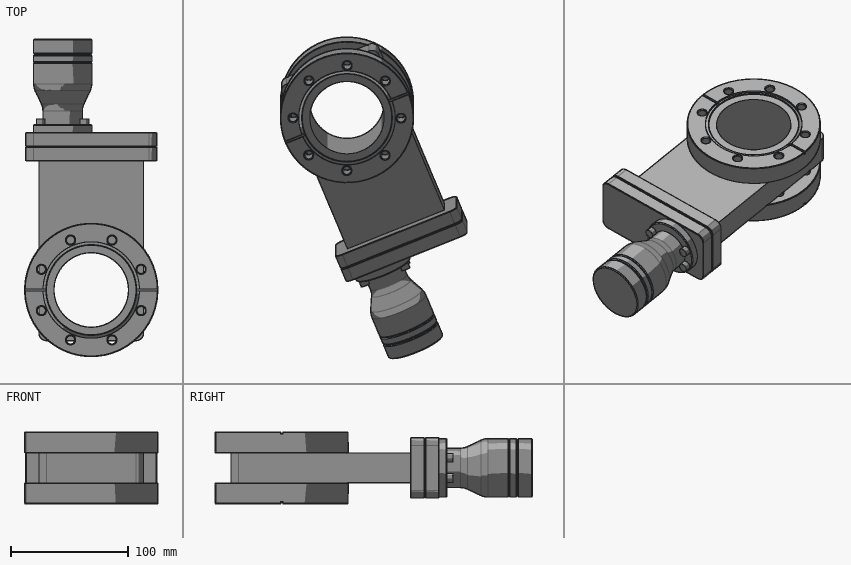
import cadquery as cq
import math

overall_length = 270.5

flange_radius = 56.8
flange_thickness = 17.9
flange_edge_chamfer = 0.5
bore_radius = 31.6

recess_radius = 41.0
recess_depth = 1.5
knife_radius = 38.7
inner_floor_radius = 38.1
knife_depth = 0.8
inner_floor_depth = 1.4

leak_groove_width = 2.0
leak_groove_depth = 2.0

bolt_count = 8
bolt_circle_radius = 46.0
bolt_hole_radius = 3.5
bolt_hole_chamfer = 0.8

body_width = 89.3
body_height = 25.5
body_front_y = -43.3
body_corner_radius = 6.5
half_height = body_height / 2 + flange_thickness

plate_width = 111.7
plate_height = 51.5
plate_thickness = 12.0
plate_corner_radius = 6.5
plate_edge_chamfer = 0.5
plate_gap = 0.5
bonnet_front_y = 109.8
gap_inset = 1.0
bonnet_back_y = bonnet_front_y + 2 * plate_thickness + plate_gap

knob_axis_x = -24.3
knob_end_y = overall_length - flange_radius
knob_radius = 50.0 / 2
knob_chamfer = 0.8
neck_radius = 33.8 / 2
collar_top_y = 141.0
taper_back_y = 172.5
taper_front_y = 155.5
blend_radius = 13.3
edge_search_margin = 0.3
groove_depth = 0.8
groove_side_slope = 0.8
knob_grooves = [(200.7, 2.5), (193.7, 2.0)]

screw_offset_x = 18.7
screw_offset_z = 8.7
screw_head_radius = 3.8
screw_head_height = 5.0


def cylinder_along_y(radius, start_y, length, x=0, z=0):
    return cq.Workplane("XZ", origin=(x, start_y, z)).circle(radius).extrude(-length)


def turned_about_y(profile):
    """Solid of revolution about the Y axis from (y, radius) points."""
    return cq.Workplane("YZ").polyline(profile).close().revolve(360, (0, 0), (1, 0))


def turned_about_z(profile):
    """Solid of revolution about the Z axis from (radius, z) points."""
    return cq.Workplane("XZ").polyline(profile).close().revolve(360, (0, 0), (0, 1))


def make_flange():
    """Upper flange, outer face up."""
    flange = cq.Workplane("XY", origin=(0, 0, body_height / 2))
    flange = flange.circle(flange_radius).extrude(flange_thickness)
    flange = flange.faces("<Z or >Z").edges().chamfer(flange_edge_chamfer)

    recess_profile = [
        (0, half_height),
        (recess_radius, half_height),
        (recess_radius, half_height - recess_depth),
        (knife_radius, half_height - knife_depth),
        (inner_floor_radius, half_height - inner_floor_depth),
        (0, half_height - inner_floor_depth),
    ]
    recess = turned_about_z(recess_profile)
    leak_groove = cq.Workplane("XY").box(2 * flange_radius, leak_groove_width, 2 * leak_groove_depth)
    leak_groove = leak_groove.translate((0, 0, half_height))
    sealing_area = cq.Workplane("XY").circle(knife_radius).extrude(half_height)
    flange = flange.cut(recess).cut(leak_groove.cut(sealing_area))

    mouth_radius = bolt_hole_radius + bolt_hole_chamfer
    hole_profile = [
        (0, body_height / 2),
        (mouth_radius, body_height / 2),
        (bolt_hole_radius, body_height / 2 + bolt_hole_chamfer),
        (bolt_hole_radius, half_height - bolt_hole_chamfer),
        (mouth_radius, half_height),
        (0, half_height),
    ]
    hole = turned_about_z(hole_profile)
    for i in range(bolt_count):
        angle = 2 * math.pi * (i + 0.5) / bolt_count
        x = bolt_circle_radius * math.cos(angle)
        y = bolt_circle_radius * math.sin(angle)
        flange = flange.cut(hole.translate((x, y, 0)))
    return flange


def make_body():
    length = bonnet_front_y - body_front_y
    body = cq.Workplane("XY").box(body_width, length, body_height)
    body = body.translate((0, body_front_y + length / 2, 0))
    return body.edges("|Z and <Y").fillet(body_corner_radius)


def make_plate(front_y):
    plate = cq.Workplane("XY").box(plate_width, plate_thickness, plate_height)
    plate = plate.edges("|Y").fillet(plate_corner_radius)
    plate = plate.faces("<Y or >Y").edges().chamfer(plate_edge_chamfer)
    return plate.translate((0, front_y + plate_thickness / 2, 0))


def make_bonnet():
    spacer_width = plate_width - 2 * gap_inset
    spacer_height = plate_height - 2 * gap_inset
    spacer = cq.Workplane("XY").box(spacer_width, plate_gap, spacer_height)
    spacer = spacer.edges("|Y").fillet(plate_corner_radius - gap_inset)
    spacer = spacer.translate((0, bonnet_front_y + plate_thickness + plate_gap / 2, 0))
    front_plate = make_plate(bonnet_front_y)
    back_plate = make_plate(bonnet_back_y - plate_thickness)
    return front_plate.union(spacer).union(back_plate)


def make_knob():
    collar = cylinder_along_y(knob_radius, bonnet_back_y, collar_top_y - bonnet_back_y, knob_axis_x)
    collar = collar.faces(">Y").edges().chamfer(knob_chamfer)

    grip_profile = [
        (bonnet_back_y, 0),
        (bonnet_back_y, neck_radius),
        (taper_front_y, neck_radius),
        (taper_back_y, knob_radius),
        (knob_end_y, knob_radius),
        (knob_end_y, 0),
    ]
    grip = turned_about_y(grip_profile)
    grip = grip.faces(">Y").edges().chamfer(knob_chamfer)
    shoulder_edges = cq.selectors.BoxSelector(
        (-2 * knob_radius, taper_front_y - edge_search_margin, -2 * knob_radius),
        (2 * knob_radius, taper_back_y + edge_search_margin, 2 * knob_radius),
    )
    grip = grip.edges("%CIRCLE").edges(shoulder_edges).fillet(blend_radius)

    floor_radius = knob_radius - groove_depth
    for centre_y, width in knob_grooves:
        half_mouth = width / 2
        half_floor = half_mouth - groove_side_slope
        groove_profile = [
            (centre_y - half_mouth, knob_radius),
            (centre_y - half_floor, floor_radius),
            (centre_y + half_floor, floor_radius),
            (centre_y + half_mouth, knob_radius),
        ]
        grip = grip.cut(turned_about_y(groove_profile))
    grip = grip.translate((knob_axis_x, 0, 0))
    return collar.union(grip)


def make_screw_heads():
    heads = cq.Workplane("XY")
    for side_x in (-1, 1):
        for side_z in (-1, 1):
            x = knob_axis_x + side_x * screw_offset_x
            z = side_z * screw_offset_z
            head = cylinder_along_y(screw_head_radius, collar_top_y, screw_head_height, x, z)
            heads = heads.union(head)
    return heads


upper_flange = make_flange()
lower_flange = upper_flange.mirror("XY")
bore = cq.Workplane("XY", origin=(0, 0, -half_height)).circle(bore_radius).extrude(2 * half_height)

result = make_body().union(upper_flange).union(lower_flange).cut(bore)
result = result.union(make_bonnet()).union(make_knob()).union(make_screw_heads())